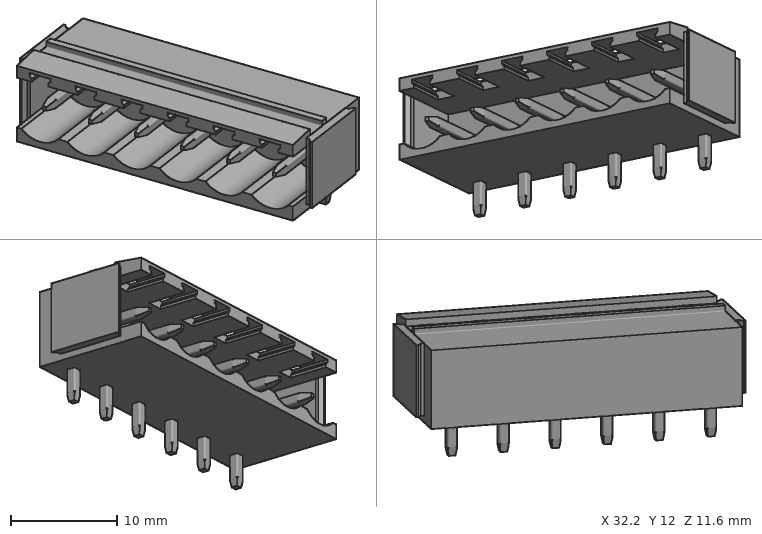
import cadquery as cq
import math

cut_margin = 0.32

overall_width = 32.25
pin_count = 6
rail_reach = 0.885
body_width = overall_width - 2 * rail_reach
pitch = body_width / pin_count
body_depth = 12.0
body_height = 7.7

cavity_depth = 8.38
cavity_floor = 1.5
cavity_ceiling = 6.85

trough_width = 4.05
trough_bottom = 0.68

lip_depth = 3.1
lip_flat = 0.3
lip_top = 8.38
lip_front_top = 8.1

ridge_front = 5.3
ridge_width = 0.77
ridge_top = 8.25
ridge_foot_radius = 0.1

slot_depth = 4.15
slot_top_width = 2.32
slot_bottom_width = 1.8
slot_upper_height = 0.25
slot_slant_height = 0.32

rail_front = 2.0
rail_back = 9.93
rail_top = 7.75
rail_plate = 0.2
rail_neck_start = 0.55
rail_neck_inset = 0.42

pin_size = 0.97
pin_fillet = 0.15
pin_height = 3.85
pin_front = 0.87
leg_y = 9.9
leg_bottom = -3.25
contact_taper = 1.42
contact_tip_size = 0.4
leg_taper = 0.9
leg_tip_size = 0.65

pin_positions = [(i - (pin_count - 1) / 2) * pitch for i in range(pin_count)]


def block(width, y_range, z_range):
    """Box centred on X = 0 between two Y and two Z values."""
    (y_min, y_max), (z_min, z_max) = y_range, z_range
    return (
        cq.Workplane("XY")
        .box(width, y_max - y_min, z_max - z_min, centered=(True, False, False))
        .translate((0, y_min, z_min))
    )


def make_lip():
    """Lip with a short flat crest that slopes down to the front."""
    return (
        cq.Workplane("YZ")
        .moveTo(0, cavity_ceiling)
        .lineTo(0, lip_front_top)
        .lineTo(lip_depth - lip_flat, lip_top)
        .lineTo(lip_depth, lip_top)
        .lineTo(lip_depth, cavity_ceiling)
        .close()
        .extrude(body_width / 2, both=True)
    )


def make_ridge():
    """Ridge along X whose two sides run into the top face in concave arcs."""
    ridge_back = ridge_front + ridge_width
    foot_top = body_height + ridge_foot_radius
    arc_rise = ridge_foot_radius * (1 - math.sqrt(0.5))
    return (
        cq.Workplane("YZ")
        .moveTo(ridge_front - ridge_foot_radius, body_height)
        .threePointArc((ridge_front - arc_rise, body_height + arc_rise), (ridge_front, foot_top))
        .lineTo(ridge_front, ridge_top)
        .lineTo(ridge_back, ridge_top)
        .lineTo(ridge_back, foot_top)
        .threePointArc(
            (ridge_back + arc_rise, body_height + arc_rise),
            (ridge_back + ridge_foot_radius, body_height),
        )
        .close()
        .extrude(body_width / 2, both=True)
    )


def make_rail():
    """Dovetail rail on the +X end, closing the side of the cavity."""
    inner = body_width / 2
    neck = overall_width / 2 - rail_neck_start
    plate = overall_width / 2 - rail_plate
    outer = overall_width / 2
    return (
        cq.Workplane("XY")
        .workplane(offset=trough_bottom)
        .moveTo(inner, rail_front + rail_neck_inset)
        .lineTo(neck, rail_front + rail_neck_inset)
        .lineTo(plate, rail_front)
        .lineTo(outer, rail_front)
        .lineTo(outer, rail_back)
        .lineTo(plate, rail_back)
        .lineTo(neck, rail_back - rail_neck_inset)
        .lineTo(inner, rail_back - rail_neck_inset)
        .close()
        .extrude(rail_top - trough_bottom)
    )


def make_trough(x):
    """Cutter for one round trough in the cavity floor."""
    half = trough_width / 2
    return (
        cq.Workplane("XZ")
        .moveTo(x - half, cavity_floor)
        .threePointArc((x, trough_bottom), (x + half, cavity_floor))
        .close()
        .extrude(-cavity_depth)
    )


def make_slot(x):
    """Cutter for one keying slot through the thickness of the top wall."""
    top_half = slot_top_width / 2
    bottom_half = slot_bottom_width / 2
    slant_top = body_height - slot_upper_height
    slant_bottom = slant_top - slot_slant_height
    return (
        cq.Workplane("XZ")
        .moveTo(x - top_half, body_height)
        .lineTo(x + top_half, body_height)
        .lineTo(x + top_half, slant_top)
        .lineTo(x + bottom_half, slant_bottom)
        .lineTo(x + bottom_half, cavity_ceiling)
        .lineTo(x - bottom_half, cavity_ceiling)
        .lineTo(x - bottom_half, slant_bottom)
        .lineTo(x - top_half, slant_top)
        .close()
        .extrude(-slot_depth)
    )


def make_bar(length, taper, tip_size):
    """Square bar with rounded long edges, along +Z from 0 to a tapered tip."""
    bar = cq.Workplane("XY").rect(pin_size, pin_size).extrude(length).edges("|Z").fillet(pin_fillet)
    straight = cq.Workplane("XY").rect(pin_size, pin_size).extrude(length - taper)
    tip = (
        cq.Workplane("XY")
        .workplane(offset=length - taper)
        .rect(pin_size, pin_size)
        .workplane(offset=taper)
        .rect(tip_size, tip_size)
        .loft(ruled=True)
    )
    return bar.intersect(straight.union(tip))


def make_pin(x):
    """Bent pin: a contact pointing to the front and a leg pointing down."""
    half = pin_size / 2
    contact_back = leg_y + half
    leg_start = pin_height + half
    contact = (
        make_bar(contact_back - pin_front, contact_taper, contact_tip_size)
        .rotate((0, 0, 0), (1, 0, 0), 90)
        .translate((x, contact_back, pin_height))
    )
    leg = (
        make_bar(leg_start - leg_bottom, leg_taper, leg_tip_size)
        .rotate((0, 0, 0), (1, 0, 0), 180)
        .translate((x, leg_y, leg_start))
    )
    return contact.union(leg)


def make_housing(pins):
    """Housing with its lip, rails, ridge, cavity and the holes that hold the pins."""
    housing = block(body_width, (0, body_depth), (0, body_height)).union(make_lip())

    cavity = block(body_width + 2 * cut_margin, (-cut_margin, cavity_depth), (cavity_floor, cavity_ceiling))
    housing = housing.cut(cavity)
    for x in pin_positions:
        housing = housing.cut(make_trough(x)).cut(make_slot(x))

    housing = housing.union(make_ridge())
    rail = make_rail()
    housing = housing.union(rail).union(rail.mirror("YZ"))

    for pin in pins:
        housing = housing.cut(pin)
    return housing


pins = [make_pin(x) for x in pin_positions]
housing = make_housing(pins)

result = cq.Compound.makeCompound([housing.val(), *[pin.val() for pin in pins]])